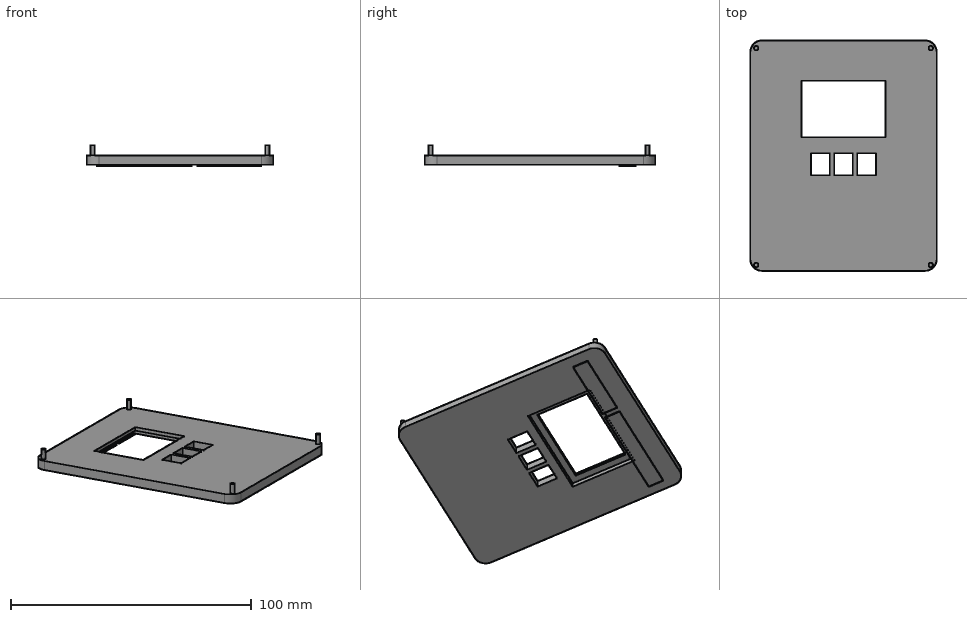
import cadquery as cq

PLATE_WIDTH = 77.6
PLATE_LENGTH = 95.95
PLATE_THICKNESS = 4.0
CORNER_RADIUS = 5.0

PIN_DIAMETER = 1.8
PIN_HEIGHT = 4.2
PIN_EDGE_X = 2.5
PIN_EDGE_BACK = 3.3
PIN_EDGE_FRONT = 2.5

WINDOW_WIDTH = 34.7
WINDOW_LENGTH = 23.3
WINDOW_CENTER_Y = 19.4
LIP_THICKNESS = 1.5
RECESS_MARGIN = 2.9

BUTTON_COUNT = 3
BUTTON_WIDTH = 7.7
BUTTON_LENGTH = 9.0
BUTTON_PITCH = 9.6
BUTTON_CENTER_Y = -3.55

LABEL_HEIGHT = 0.5
LABEL_FRONT_Y = 33.0
LABEL_BACK_Y = 39.8
LABEL_SPANS_X = [(-34.5, 5.0), (7.2, 33.9)]


def make_plate():
    plate = cq.Workplane("XY").rect(PLATE_WIDTH, PLATE_LENGTH).extrude(PLATE_THICKNESS)
    return plate.edges("|Z").fillet(CORNER_RADIUS)


def make_pins():
    pin_x = PLATE_WIDTH / 2 - PIN_EDGE_X
    back_y = PLATE_LENGTH / 2 - PIN_EDGE_BACK
    front_y = PIN_EDGE_FRONT - PLATE_LENGTH / 2
    centers = [(x, y) for x in (-pin_x, pin_x) for y in (front_y, back_y)]
    pins = cq.Workplane("XY").pushPoints(centers).circle(PIN_DIAMETER / 2)
    return pins.extrude(PLATE_THICKNESS + PIN_HEIGHT)


def make_display_opening():
    center = cq.Workplane("XY").center(0, WINDOW_CENTER_Y)
    window = center.rect(WINDOW_WIDTH, WINDOW_LENGTH).extrude(PLATE_THICKNESS)
    recess_width = WINDOW_WIDTH + 2 * RECESS_MARGIN
    recess_length = WINDOW_LENGTH + 2 * RECESS_MARGIN
    recess = center.rect(recess_width, recess_length).extrude(PLATE_THICKNESS - LIP_THICKNESS)
    return window.union(recess)


def make_button_openings():
    row = cq.Workplane("XY").center(0, BUTTON_CENTER_Y).rarray(BUTTON_PITCH, 1, BUTTON_COUNT, 1)
    return row.rect(BUTTON_WIDTH, BUTTON_LENGTH).extrude(PLATE_THICKNESS)


def make_label_band(left_x, right_x):
    band = cq.Workplane("XY").center((left_x + right_x) / 2, (LABEL_FRONT_Y + LABEL_BACK_Y) / 2)
    return band.rect(right_x - left_x, LABEL_BACK_Y - LABEL_FRONT_Y).extrude(-LABEL_HEIGHT)


result = make_plate().union(make_pins())
result = result.cut(make_display_opening()).cut(make_button_openings())
for left_x, right_x in LABEL_SPANS_X:
    result = result.union(make_label_band(left_x, right_x))